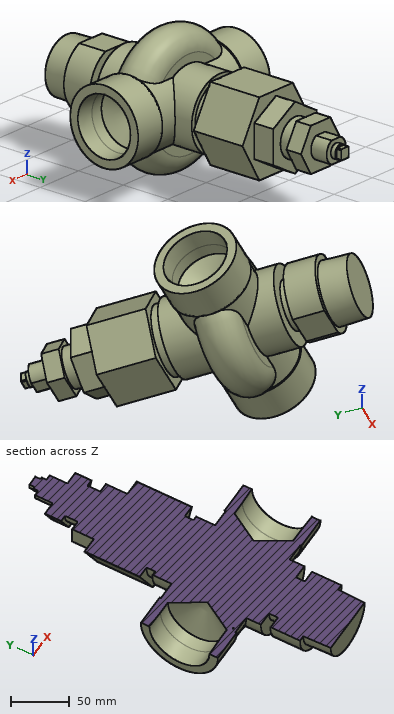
import cadquery as cq
import math

port_span = 172.72
pipe_diameter = 73.8
collar_diameter = 76.0
collar_length = 31.75
socket_mouth_diameter = 58.8
socket_thread_depth = 17.5
socket_bore_depth = 30.2
drill_point_angle = 118.0

disc_diameter = 133.35
disc_thickness = 41.3

thread_taper = 1 / 16

overall_length = 310.51
plug_end = -115.3
union_front = -88.8
union_back = -59.6
body_front = -51.3
body_back = 55.5
bonnet_front = 63.7
bonnet_back = 118.3
packing_nut_back = 139.5
gland_front = 151.7
gland_back = 168.0
spindle_back = 185.4
collet_back = 190.2
tip_end = plug_end + overall_length

plug_base_diameter = 59.0
union_diameter = 70.2
union_flats = 63.5
front_neck_diameter = 45.9
bonnet_neck_diameter = 65.0
bonnet_flats = 76.2
packing_nut_flats = 57.15
gland_neck_diameter = 38.4
gland_flats = 44.45
spindle_diameter = 25.2
spindle_flats = 22.225
collet_diameter = 14.3
tip_diameter = 13.5
tip_square = 10.4


def cylinder_y(diameter, start, end):
    """Round bar along Y between two stations."""
    base = cq.Workplane("XZ", origin=(0, start, 0))
    return base.circle(diameter / 2).extrude(start - end)


def hexagon_y(across_flats, start, end, corners_on_z=False):
    """Hexagonal bar along Y, corners on X unless asked for on Z."""
    corner_diameter = across_flats / math.cos(math.pi / 6)
    base = cq.Workplane("XZ", origin=(0, start, 0))
    bar = base.polygon(6, corner_diameter).extrude(start - end)
    if corners_on_z:
        bar = bar.rotate((0, 0, 0), (0, 1, 0), 90)
    return bar


def flatted_cylinder_y(diameter, width_x, width_z, start, end):
    """Round bar along Y trimmed to the given widths in X and Z."""
    envelope = cq.Workplane("XZ", origin=(0, start, 0)).rect(width_x, width_z).extrude(start - end)
    return cylinder_y(diameter, start, end).intersect(envelope)


def make_plug():
    """Tapered pipe-thread plug, narrowing toward its free end."""
    length = union_front - plug_end
    base_radius = plug_base_diameter / 2
    end_radius = base_radius - thread_taper * length / 2
    profile = [
        (0, union_front),
        (base_radius, union_front),
        (end_radius, plug_end),
        (0, plug_end),
    ]
    return cq.Workplane("XY").polyline(profile).close().revolve(360, (0, 0, 0), (0, 1, 0))


def make_cross_pipe():
    """Pipe along X with a larger collar at each end."""
    pipe = cq.Workplane("YZ").circle(pipe_diameter / 2).extrude(port_span / 2, both=True)
    for side in (-1, 1):
        face = cq.Workplane("YZ", origin=(side * port_span / 2, 0, 0))
        pipe = pipe.union(face.circle(collar_diameter / 2).extrude(-side * collar_length))
    return pipe


def make_disc():
    """Disc with a fully rounded rim."""
    rim_radius = disc_thickness / 2
    flat_radius = disc_diameter / 2 - rim_radius
    profile = (
        cq.Workplane("XY")
        .moveTo(0, -rim_radius)
        .lineTo(flat_radius, -rim_radius)
        .threePointArc((disc_diameter / 2, 0), (flat_radius, rim_radius))
        .lineTo(0, rim_radius)
        .close()
    )
    return profile.revolve(360, (0, 0, 0), (0, 1, 0))


def make_socket(side):
    """Cavity of one socket: tapered thread, plain bore and drill point."""
    mouth_radius = socket_mouth_diameter / 2
    bore_radius = mouth_radius - thread_taper * socket_thread_depth / 2
    point_depth = bore_radius / math.tan(math.radians(drill_point_angle / 2))
    mouth = port_span / 2
    profile = [
        (side * mouth, 0),
        (side * mouth, mouth_radius),
        (side * (mouth - socket_thread_depth), bore_radius),
        (side * (mouth - socket_bore_depth), bore_radius),
        (side * (mouth - socket_bore_depth - point_depth), 0),
    ]
    return cq.Workplane("XY").polyline(profile).close().revolve(360, (0, 0, 0), (1, 0, 0))


def make_stem():
    """Everything stacked along the Y axis, from the plug to the spindle tip."""
    sections = [
        flatted_cylinder_y(union_diameter, union_diameter, union_flats, union_front, union_back),
        cylinder_y(front_neck_diameter, union_back, body_front),
        cylinder_y(pipe_diameter, body_front, body_back),
        cylinder_y(bonnet_neck_diameter, body_back, bonnet_front),
        hexagon_y(bonnet_flats, bonnet_front, bonnet_back),
        hexagon_y(packing_nut_flats, bonnet_back, packing_nut_back, corners_on_z=True),
        cylinder_y(gland_neck_diameter, packing_nut_back, gland_front),
        hexagon_y(gland_flats, gland_front, gland_back),
        flatted_cylinder_y(spindle_diameter, spindle_diameter, spindle_flats, gland_back, spindle_back),
        cylinder_y(collet_diameter, spindle_back, collet_back),
        flatted_cylinder_y(tip_diameter, tip_square, tip_square, collet_back, tip_end),
    ]
    stem = make_plug()
    for section in sections:
        stem = stem.union(section)
    return stem


result = make_stem().union(make_cross_pipe()).union(make_disc())
for port_side in (-1, 1):
    result = result.cut(make_socket(port_side))